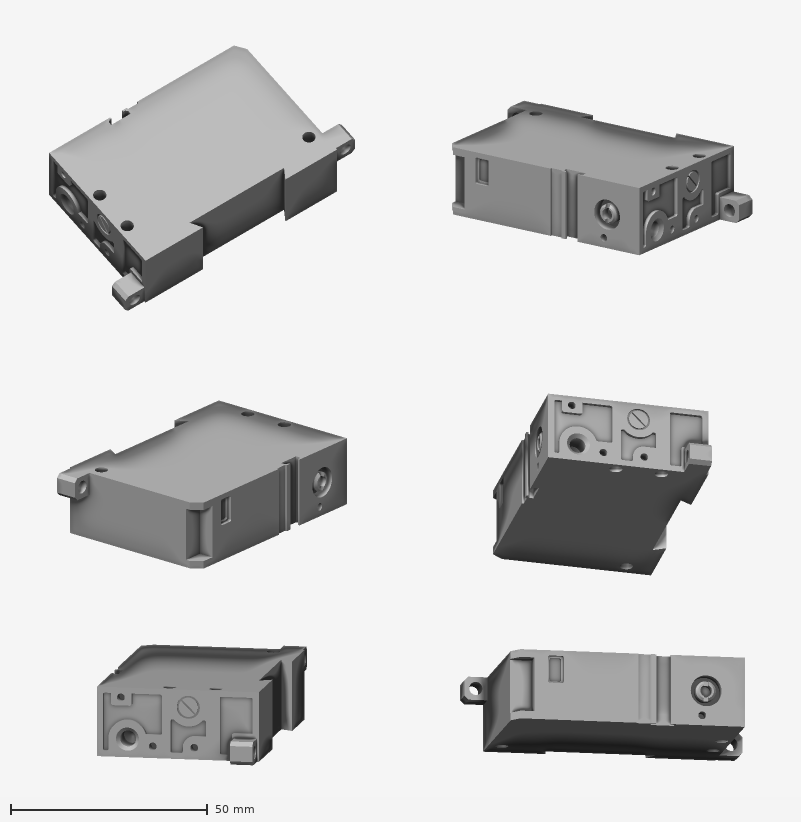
import cadquery as cq
import math

total_length = 72.0
body_width = 42.0
body_height = 18.0
tab_size = 6.0
body_length = total_length - 2 * tab_size

corner_cut_x = 2.9
corner_cut_y = 2.1
lip_thickness = 0.5
step_back_y = 27.6
slot_depth = 2.1
slot_front_y = 18.0
slot_back_y = 24.05
mouth_front_y = 19.15
mouth_back_y = 22.9
lip_back_y = 24.2
lip_slant = 0.3
lip_bevel = 0.6

rail_depth = 3.2
rail_front_y = 16.1
rail_back_y = 45.7
rail_undercut = 1.9

tab_width = 5.8
tab_right_gap = 0.5
tab_chamfer = 1.0
tab_x = body_width - tab_right_gap - tab_width
mount_hole_diameter = 3.4
vertical_hole_centers = [(18.35, 2.7), (30.3, 2.7), (34.6, 56.5)]

recess_depth = 4.0
recess_length = 5.6
recess_margin = 2.0
window_center = (48.9, 13.1)
window_length = 4.1
window_height = 7.05
window_rim = 0.5
window_step_depth = 0.9
window_floor_depth = 1.6
window_radius = 0.5

spigot_center = (10.0, 9.0)
spigot_recess_diameter = 8.0
spigot_recess_depth = 3.0
spigot_diameter = 5.2
spigot_tip_diameter = 4.0
spigot_bore_diameter = 3.0
spigot_bore_depth = 2.5
spigot_slot_width = 1.2
spigot_slot_depth = 1.0
spigot_taper_length = 0.5

pin_hole_diameter = 2.0
pin_hole_depth = 3.0
side_pin_center = (11.0, 2.6)
upper_pin_center = (6.2, 15.4)
lower_pin_center = (14.5, 3.0)
right_pin_center = (25.2, 3.0)

port_center = (7.9, 4.7)
port_mouth_diameter = 6.0
port_bore_diameter = 4.1
port_bore_depth = 6.0
port_tip_length = 1.2
port_sink = (port_mouth_diameter - port_bore_diameter) / 2

screw_center = (23.7, 13.5)
screw_well_diameter = 6.0
screw_diameter = 5.0
screw_well_depth = 0.5
screw_slot_width = 0.4
screw_slot_angle = 45

pocket_depth = 1.0
pocket_bottom = 1.5
pocket_top = body_height - pocket_bottom
shelf_z = 6.05
pocket_radius = 0.5
guard_radius = 5.0

left_pocket_x = (1.6, 16.85)
left_leg_x = 2.95
pin_land_x = (3.7, 9.0)
pin_land_z = 13.3

middle_pocket_x = (19.1, 28.3)
horn_top = 10.2
pin_guard_radius = 2.95

right_pocket_x = (31.9, 40.4)
right_leg_x = 35.0
right_step_z = 7.1


def box(x0, x1, y0, y1, z0, z1):
    return cq.Workplane("XY").box(x1 - x0, y1 - y0, z1 - z0, centered=False).translate((x0, y0, z0))


def front_cylinder(center, diameter, depth):
    """Cylinder running inward (+Y) from the front face; center is (x, z)."""
    solid = cq.Solid.makeCylinder(
        diameter / 2, depth, cq.Vector(center[0], 0, center[1]), cq.Vector(0, 1, 0)
    )
    return cq.Workplane(solid)


def left_cylinder(center, diameter, start, end):
    """Cylinder along X between two depths behind the left side; center is (y, z)."""
    solid = cq.Solid.makeCylinder(
        diameter / 2, end - start, cq.Vector(start, *center), cq.Vector(1, 0, 0)
    )
    return cq.Workplane(solid)


corner_search = 0.035


def front_pocket(outline):
    """Turn a closed X-Z outline into a shallow pocket cutter."""
    return outline.close().extrude(-pocket_depth)


def round_corners(cutter, corners):
    """Fillet the Y-direction edges of a pocket cutter at the given (x, z) corners."""
    for x, z in corners:
        around = cq.selectors.BoxSelector(
            (x - corner_search, 0, z - corner_search), (x + corner_search, pocket_depth, z + corner_search)
        )
        cutter = cutter.edges("|Y").edges(around).fillet(pocket_radius)
    return cutter


def main_body():
    rail_floor_x = body_width - rail_depth
    outline = [
        (0, 0),
        (body_width, 0),
        (body_width, rail_front_y + rail_undercut),
        (rail_floor_x, rail_front_y),
        (rail_floor_x, rail_back_y),
        (body_width, rail_back_y - rail_undercut),
        (body_width, body_length),
        (corner_cut_x, body_length),
        (0, body_length - corner_cut_y),
        (0, step_back_y),
        (lip_thickness, step_back_y),
        (lip_thickness, lip_back_y + lip_slant),
        (0, lip_back_y),
        (0, mouth_back_y),
        (lip_thickness, mouth_back_y),
        (lip_thickness, slot_back_y - lip_bevel),
        (lip_thickness + lip_bevel, slot_back_y),
        (slot_depth, slot_back_y),
        (slot_depth, slot_front_y),
        (lip_thickness + lip_bevel, slot_front_y),
        (lip_thickness, slot_front_y + lip_bevel),
        (lip_thickness, mouth_front_y),
        (0, mouth_front_y),
    ]
    return cq.Workplane("XY").polyline(outline).close().extrude(body_height)


def mounting_tab(y_start, z_start, outer_side):
    tab = box(tab_x, tab_x + tab_width, y_start, y_start + tab_size, z_start, z_start + tab_size)
    tab = tab.faces(outer_side).edges("|X").chamfer(tab_chamfer)
    return tab.faces("<X").workplane(centerOption="CenterOfBoundBox").hole(mount_hole_diameter)


def corner_recess():
    return box(
        0, recess_depth,
        body_length - recess_length, body_length,
        recess_margin, body_height - recess_margin,
    )


def window():
    """Rounded rectangular recess with a smaller, deeper one inside it."""
    def layer(inset, depth):
        block = cq.Workplane("XY").box(
            depth, window_length - 2 * inset, window_height - 2 * inset, centered=(False, True, True)
        )
        return block.edges("|X").fillet(window_radius).translate((0, *window_center))

    return layer(0, window_step_depth).union(layer(window_rim, window_floor_depth))


def spigot_cutter():
    """Round recess that leaves a slotted, bored spigot standing flush with the left side."""
    tip_radius = spigot_tip_diameter / 2
    root_radius = spigot_diameter / 2
    profile = [
        (0, 0),
        (0, tip_radius),
        (spigot_taper_length, root_radius),
        (spigot_recess_depth, root_radius),
        (spigot_recess_depth, 0),
    ]
    spigot = cq.Workplane("XY").polyline(profile).close().revolve(360, (0, 0, 0), (1, 0, 0))
    spigot = spigot.translate((0, *spigot_center))
    slot = cq.Workplane("XY").box(
        spigot_slot_depth, spigot_slot_width, spigot_diameter, centered=(False, True, True)
    )
    spigot = spigot.cut(slot.translate((0, *spigot_center)))
    recess = left_cylinder(spigot_center, spigot_recess_diameter, 0, spigot_recess_depth)
    bore = left_cylinder(spigot_center, spigot_bore_diameter, 0, spigot_bore_depth)
    return recess.cut(spigot).union(bore)


def port():
    bore_radius = port_bore_diameter / 2
    profile = [
        (0, 0),
        (port_mouth_diameter / 2, 0),
        (bore_radius, port_sink),
        (bore_radius, port_bore_depth),
        (0, port_bore_depth + port_tip_length),
    ]
    cutter = cq.Workplane("XY").polyline(profile).close().revolve(360, (0, 0, 0), (0, 1, 0))
    return cutter.translate((port_center[0], 0, port_center[1]))


def screw_cutter():
    """Ring groove and diagonal slot that leave a screw head flush with the front face."""
    well = front_cylinder(screw_center, screw_well_diameter, screw_well_depth)
    head = front_cylinder(screw_center, screw_diameter, screw_well_depth)
    slot = cq.Workplane("XY").box(
        screw_diameter, screw_well_depth, screw_slot_width, centered=(True, False, True)
    )
    slot = slot.rotate((0, 0, 0), (0, 1, 0), screw_slot_angle)
    return well.cut(head.cut(slot.translate((screw_center[0], 0, screw_center[1]))))


def left_pocket():
    x0, x1 = left_pocket_x
    port_x, port_z = port_center
    arc_end_x = port_x + math.sqrt(guard_radius**2 - (shelf_z - port_z) ** 2)
    outline = (
        cq.Workplane("XZ")
        .moveTo(x0, pocket_bottom)
        .lineTo(left_leg_x, pocket_bottom)
        .lineTo(left_leg_x, port_z)
        .threePointArc((port_x, port_z + guard_radius), (arc_end_x, shelf_z))
        .lineTo(x1, shelf_z)
        .lineTo(x1, pocket_top)
        .lineTo(pin_land_x[1], pocket_top)
        .lineTo(pin_land_x[1], pin_land_z)
        .lineTo(pin_land_x[0], pin_land_z)
        .lineTo(pin_land_x[0], pocket_top)
        .lineTo(x0, pocket_top)
    )
    return round_corners(
        front_pocket(outline),
        [(x0, pocket_bottom), (left_leg_x, pocket_bottom), (x1, shelf_z), (x1, pocket_top), (x0, pocket_top),
         (pin_land_x[0], pin_land_z), (pin_land_x[1], pin_land_z)],
    )


def middle_pocket():
    x0, x1 = middle_pocket_x
    pin_x, pin_z = right_pin_center
    screw_x, screw_z = screw_center
    horn_reach = math.sqrt(guard_radius**2 - (screw_z - horn_top) ** 2)
    leg_x = pin_x - pin_guard_radius
    diagonal = pin_guard_radius * math.sqrt(0.5)
    outline = (
        cq.Workplane("XZ")
        .moveTo(x0, pocket_bottom)
        .lineTo(leg_x, pocket_bottom)
        .lineTo(leg_x, pin_z)
        .threePointArc((pin_x - diagonal, pin_z + diagonal), (pin_x, pin_z + pin_guard_radius))
        .lineTo(x1, pin_z + pin_guard_radius)
        .lineTo(x1, horn_top)
        .lineTo(screw_x + horn_reach, horn_top)
        .threePointArc((screw_x, screw_z - guard_radius), (screw_x - horn_reach, horn_top))
        .lineTo(x0, horn_top)
    )
    return round_corners(
        front_pocket(outline),
        [(x0, pocket_bottom), (leg_x, pocket_bottom), (x1, horn_top), (x0, horn_top)],
    )


def right_pocket():
    x0, x1 = right_pocket_x
    outline = cq.Workplane("XZ").polyline([
        (x0, pocket_bottom),
        (right_leg_x, pocket_bottom),
        (right_leg_x, right_step_z),
        (x1, right_step_z),
        (x1, pocket_top),
        (x0, pocket_top),
    ])
    return round_corners(
        front_pocket(outline),
        [(x0, pocket_bottom), (right_leg_x, pocket_bottom), (right_leg_x, right_step_z),
         (x1, pocket_top), (x0, pocket_top)],
    )


part = main_body()
part = part.union(mounting_tab(-tab_size, 0, "<Y"))
part = part.union(mounting_tab(body_length, body_height - tab_size, ">Y"))

for x, y in vertical_hole_centers:
    part = part.cut(cq.Workplane("XY").center(x, y).circle(mount_hole_diameter / 2).extrude(body_height))

for pin_center in (upper_pin_center, lower_pin_center, right_pin_center):
    part = part.cut(front_cylinder(pin_center, pin_hole_diameter, pin_hole_depth))
part = part.cut(left_cylinder(side_pin_center, pin_hole_diameter, 0, pin_hole_depth))

for cutter in (
    corner_recess(), window(), spigot_cutter(), port(), screw_cutter(),
    left_pocket(), middle_pocket(), right_pocket(),
):
    part = part.cut(cutter)

result = part